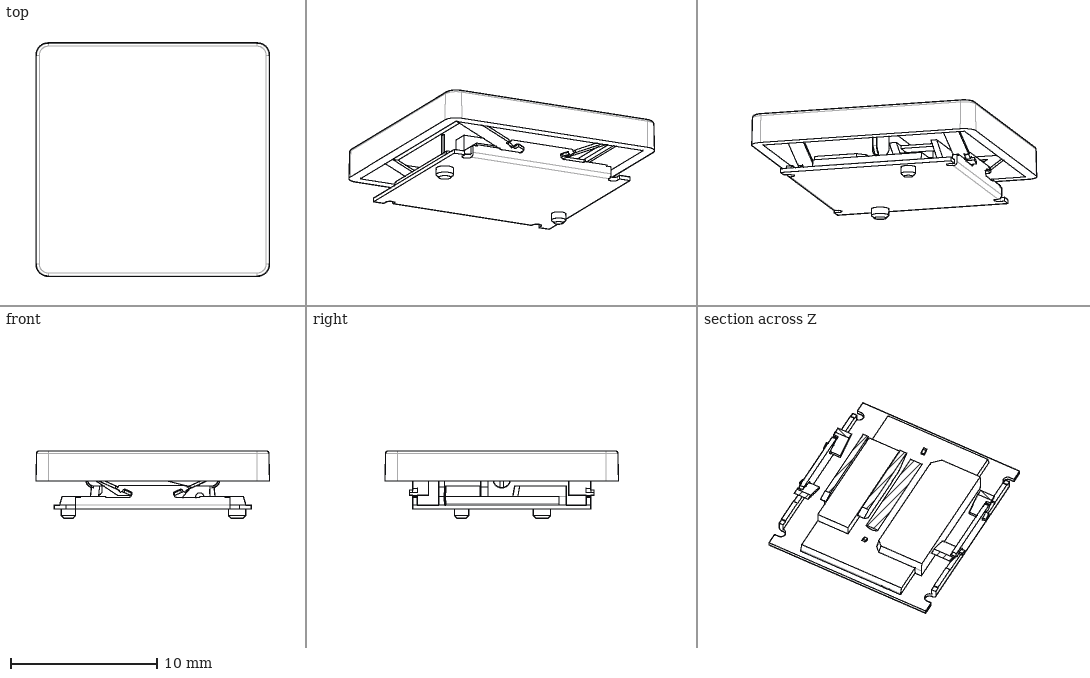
import cadquery as cq
import math

CAP_SIZE = 16.0
TOTAL_HEIGHT = 4.62

PLATE_LENGTH = 13.5
PLATE_WIDTH = 12.2
PLATE_BOTTOM = 0.64
PLATE_THICKNESS = 0.27
PLATE_TOP = PLATE_BOTTOM + PLATE_THICKNESS
PLATE_EDGE = PLATE_WIDTH / 2
WALL_THICKNESS = 0.32
WALL_HALF_LENGTH = 5.3
WALL_TOP = 2.24
RELIEF_WIDTH = 0.65
RELIEF_DEPTH = 0.64

CAP_BOTTOM = 2.55
CAP_HEIGHT = TOTAL_HEIGHT - CAP_BOTTOM
CAP_CORNER_RADIUS = 0.86
CAP_INSET_AT_TOP = 0.05
CAP_DRAFT = math.degrees(math.atan(CAP_INSET_AT_TOP / CAP_HEIGHT))
CAP_TOP_ROUND = 0.2
CAP_WALL = 0.8
CAP_ROOF = 0.6
CAVITY_TOP = TOTAL_HEIGHT - CAP_ROOF
RIB_DIAMETER = 1.2
RIB_HALF_LENGTH = 3.2
RIB_BOTTOM = 2.1

FRAME_HALF_LENGTH = 6.35
FRAME_TOP = 1.5
FRAME_BREAK = 1.02
FRAME_SIDE_INSET = 0.15
FRAME_FRONT = -3.84
FRAME_BACK = 3.92
PEG_X = 5.78
PEG_Y = 2.75
SMALL_PEG_DIAMETER = 1.0
LARGE_PEG_DIAMETER = 1.2
PEG_CHAMFER = 0.2

BOX_LEFT_FOOT = -3.71
BOX_LEFT = -3.49
BOX_RIGHT = 3.9
BOX_BACK = -1.49
BOX_SLOPE_TOP = 1.76
HOUSING_TOP = 2.22
BOSS_X = 3.22
BOSS_Z = 1.47
BOSS_DIAMETER = 0.56
BOSS_LENGTH = 0.1

COVER_HALF_LENGTH = 4.27
COVER_BACK = 4.42
COVER_FRONT = 0.75
COVER_LEFT_CORNER = 0.56
COVER_RIGHT_CORNER = 0.35
COVER_SIDE_DRAFT = 0.08
COVER_FRONT_DRAFT = 0.13

WING_OUTER = PLATE_EDGE
WING_INNER = 5.0
WIDE_LEG_INNER = 4.58
LUG_OUTER = 6.32
WING_TIP_X = -1.5
WING_TIP_BOTTOM = 1.57
WING_TIP_TOP = 1.76
WING_SLOPE = 0.45
LEG_END_X = -2.56
LUG_START_X = -1.92
BAR_BOTTOM = 3.52

LEVER_OUTER_FRONT = -4.32
LEVER_OUTER_BACK = -3.9
LEVER_INNER_FRONT = -1.44
LEVER_INNER_BACK = -0.93
LEVER_TOP = 2.8
BRIDGE_BOTTOM = 2.6
BRIDGE_LEFT = -3.2

SPRING_REACH = 4.58
SPRING_RADIUS = 0.51
SPRING_THICKNESS = 0.13
SPRING_WIDTH = 0.24


def box(x_min, x_max, y_min, y_max, z_min, z_max):
    """Box given by its limits along the three axes."""
    return cq.Workplane("XY").box(
        x_max - x_min, y_max - y_min, z_max - z_min, centered=False
    ).translate((x_min, y_min, z_min))


def along_y(profile, y_min, y_max):
    """Extrude a closed XZ profile from y_min to y_max."""
    return profile.extrude(y_min - y_max).translate((0, y_min, 0))


def xz_polygon(points):
    """Closed polygon in the XZ plane."""
    return cq.Workplane("XZ").polyline(points).close()


def make_cap():
    """Hollow keycap with a round-bottomed rib along X under the middle of its roof."""
    shell = (
        cq.Workplane("XY")
        .sketch().rect(CAP_SIZE, CAP_SIZE).vertices().fillet(CAP_CORNER_RADIUS).finalize()
        .extrude(CAP_HEIGHT, taper=CAP_DRAFT)
        .translate((0, 0, CAP_BOTTOM))
        .faces(">Z").edges().fillet(CAP_TOP_ROUND)
    )
    inside = CAP_SIZE / 2 - CAP_WALL
    shell = shell.cut(box(-inside, inside, -inside, inside, CAP_BOTTOM, CAVITY_TOP))

    radius = RIB_DIAMETER / 2
    shoulder = RIB_BOTTOM + radius
    rib = (
        cq.Workplane("YZ")
        .moveTo(-radius, CAVITY_TOP)
        .lineTo(-radius, shoulder)
        .threePointArc((0, RIB_BOTTOM), (radius, shoulder))
        .lineTo(radius, CAVITY_TOP)
        .close()
        .extrude(RIB_HALF_LENGTH, both=True)
    )
    return shell.union(rib)


def wall_half_profile():
    """Left half of a bearing wall: a hooked slot that holds the lug of a wing."""
    end_step_height = 1.42
    end_step_x = -4.96
    return (
        cq.Workplane("XZ")
        .moveTo(0, PLATE_BOTTOM)
        .lineTo(-WALL_HALF_LENGTH, PLATE_BOTTOM)
        .lineTo(-WALL_HALF_LENGTH, end_step_height)
        .lineTo(end_step_x, end_step_height)
        .lineTo(end_step_x, FRAME_TOP)
        .lineTo(-3.25, FRAME_TOP)
        .lineTo(-3.2, end_step_height)
        .lineTo(-1.76, end_step_height)
        .threePointArc((-1.45, 1.57), (-1.44, 1.8))
        .lineTo(-1.94, 2.02)
        .lineTo(-2.2, 1.78)
        .lineTo(-2.48, 2.03)
        .lineTo(-2.32, WALL_TOP)
        .lineTo(0, WALL_TOP)
        .close()
    )


def make_plate():
    """Base plate with two walls bent up from its front and back edges."""
    plate = box(
        -PLATE_LENGTH / 2, PLATE_LENGTH / 2, -PLATE_EDGE, PLATE_EDGE, PLATE_BOTTOM, PLATE_TOP
    )
    relief_x = WALL_HALF_LENGTH + RELIEF_WIDTH / 2
    relief_length = 2 * RELIEF_DEPTH
    reliefs = (
        cq.Workplane("XY", origin=(0, 0, PLATE_BOTTOM))
        .pushPoints([(sx * relief_x, sy * PLATE_EDGE) for sx in (-1, 1) for sy in (-1, 1)])
        .slot2D(relief_length, RELIEF_WIDTH, 90)
        .extrude(PLATE_THICKNESS)
    )
    half_wall = along_y(wall_half_profile(), -PLATE_EDGE, -PLATE_EDGE + WALL_THICKNESS)
    front_wall = half_wall.union(half_wall.mirror("YZ"))
    plate = plate.cut(reliefs).union(front_wall).union(front_wall.mirror("XZ"))

    for side in (-1, 1):
        corner = box(
            -WALL_HALF_LENGTH, WALL_HALF_LENGTH,
            -PLATE_THICKNESS, 0, 0, PLATE_THICKNESS,
        )
        bend = (
            cq.Workplane("YZ")
            .center(0, PLATE_THICKNESS)
            .circle(PLATE_THICKNESS)
            .extrude(WALL_HALF_LENGTH, both=True)
        )
        waste = corner.cut(bend).translate((0, PLATE_THICKNESS - PLATE_EDGE, PLATE_BOTTOM))
        plate = plate.cut(waste if side < 0 else waste.mirror("XZ"))

    for x, y, diameter in pegs():
        hole = cq.Workplane("XY", origin=(x, y, PLATE_BOTTOM)).circle(diameter / 2)
        plate = plate.cut(hole.extrude(PLATE_THICKNESS))
    return plate


def pegs():
    """Place and diameter of the two locating pegs, on opposite corners."""
    return [(-PEG_X, -PEG_Y, SMALL_PEG_DIAMETER), (PEG_X, PEG_Y, LARGE_PEG_DIAMETER)]


def make_frame():
    """Frame with sloped ends, a switch box on top and pegs through the plate."""
    top_half_length = FRAME_HALF_LENGTH - FRAME_SIDE_INSET
    frame = along_y(
        xz_polygon([
            (-FRAME_HALF_LENGTH, PLATE_TOP),
            (-FRAME_HALF_LENGTH, FRAME_BREAK),
            (-top_half_length, FRAME_TOP),
            (top_half_length, FRAME_TOP),
            (FRAME_HALF_LENGTH, FRAME_BREAK),
            (FRAME_HALF_LENGTH, PLATE_TOP),
        ]),
        FRAME_FRONT, FRAME_BACK,
    )
    switch_box = along_y(
        xz_polygon([
            (BOX_LEFT_FOOT, FRAME_TOP),
            (BOX_LEFT, BOX_SLOPE_TOP),
            (BOX_LEFT, HOUSING_TOP),
            (BOX_RIGHT, HOUSING_TOP),
            (BOX_RIGHT, FRAME_TOP),
        ]),
        FRAME_FRONT, BOX_BACK,
    )
    boss = along_y(
        cq.Workplane("XZ").center(BOSS_X, BOSS_Z).circle(BOSS_DIAMETER / 2),
        FRAME_FRONT - BOSS_LENGTH, FRAME_FRONT,
    )
    frame = frame.union(switch_box).union(boss)
    for x, y, diameter in pegs():
        peg = cq.Workplane("XY", origin=(x, y, 0)).circle(diameter / 2).extrude(PLATE_TOP)
        frame = frame.union(peg.faces("<Z").chamfer(PEG_CHAMFER))
    return frame


def make_cover():
    """Cover with drafted sides and cut front corners, and a foot behind the frame."""
    def outline(half_length, front):
        return [
            (-half_length, COVER_BACK),
            (-half_length, front + COVER_LEFT_CORNER),
            (-half_length + COVER_LEFT_CORNER, front),
            (half_length - COVER_RIGHT_CORNER, front),
            (half_length, front + COVER_RIGHT_CORNER),
            (half_length, COVER_BACK),
        ]

    body = (
        cq.Workplane("XY", origin=(0, 0, FRAME_TOP))
        .polyline(outline(COVER_HALF_LENGTH, COVER_FRONT)).close()
        .workplane(offset=HOUSING_TOP - FRAME_TOP)
        .polyline(outline(COVER_HALF_LENGTH - COVER_SIDE_DRAFT, COVER_FRONT + COVER_FRONT_DRAFT))
        .close()
        .loft(ruled=True)
    )
    foot = box(
        -COVER_HALF_LENGTH, COVER_HALF_LENGTH, FRAME_BACK, COVER_BACK, PLATE_TOP, FRAME_TOP
    )
    return body.union(foot)


def make_left_wing(back_leg_inner, front_leg_inner):
    """Sloped sheet: two legs with lugs in the wall slots, joined by a bar under the cap roof."""
    def slope_x(tip_height):
        return WING_TIP_X - (CAVITY_TOP - tip_height) / WING_SLOPE

    sheet_profile = xz_polygon([
        (slope_x(WING_TIP_BOTTOM), CAVITY_TOP),
        (WING_TIP_X, WING_TIP_BOTTOM),
        (WING_TIP_X, WING_TIP_TOP),
        (slope_x(WING_TIP_TOP), CAVITY_TOP),
    ])
    full_sheet = along_y(sheet_profile, -LUG_OUTER, LUG_OUTER)
    reach = CAP_SIZE / 2
    wall_inside = PLATE_EDGE - WALL_THICKNESS

    kept = box(-reach, 0, -wall_inside, wall_inside, BAR_BOTTOM, CAVITY_TOP)
    for side, leg_inner in ((1, back_leg_inner), (-1, front_leg_inner)):
        leg = box(-reach, 0, leg_inner, wall_inside, 0, CAVITY_TOP)
        leg_edge = box(-reach, LEG_END_X, wall_inside, WING_OUTER, 0, CAVITY_TOP)
        lug = box(LUG_START_X, 0, wall_inside, LUG_OUTER, 0, CAVITY_TOP)
        outer_part = leg.union(leg_edge).union(lug)
        kept = kept.union(outer_part if side > 0 else outer_part.mirror("XZ"))
    return full_sheet.intersect(kept)


def make_lever():
    """Lever of two side plates that straddle the switch box, bridged above it."""
    upper_points = [
        (2.08, FRAME_TOP),
        (2.64, 2.15),
        (1.05, CAP_BOTTOM),
        (0.0, LEVER_TOP),
        (-4.25, LEVER_TOP),
        (-2.4, WING_TIP_BOTTOM),
        (-1.52, WING_TIP_BOTTOM),
        (-1.47, FRAME_TOP),
    ]
    foot_points = [(-1.04, PLATE_TOP), (2.08, PLATE_TOP)]
    outer_plate = along_y(
        xz_polygon(upper_points + foot_points), LEVER_OUTER_FRONT, LEVER_OUTER_BACK
    )
    inner_plate = along_y(xz_polygon(upper_points), LEVER_INNER_FRONT, LEVER_INNER_BACK)
    bridge = box(BRIDGE_LEFT, 0, LEVER_OUTER_FRONT, LEVER_INNER_BACK, BRIDGE_BOTTOM, LEVER_TOP)
    return outer_plate.union(inner_plate).union(bridge)


def make_left_spring():
    """Narrow strip hanging from the roof of the cap and curling inward at its tip."""
    inner_radius = SPRING_RADIUS - SPRING_THICKNESS
    center_x = SPRING_RADIUS - SPRING_REACH
    center_z = RIB_BOTTOM + SPRING_RADIUS
    diagonal = math.sqrt(0.5)

    def mid_arc(radius):
        return (center_x - radius * diagonal, center_z - radius * diagonal)

    profile = (
        cq.Workplane("XZ")
        .moveTo(center_x - SPRING_RADIUS, CAVITY_TOP)
        .lineTo(center_x - SPRING_RADIUS, center_z)
        .threePointArc(mid_arc(SPRING_RADIUS), (center_x, RIB_BOTTOM))
        .lineTo(center_x, center_z - inner_radius)
        .threePointArc(mid_arc(inner_radius), (center_x - inner_radius, center_z))
        .lineTo(center_x - inner_radius, CAVITY_TOP)
        .close()
    )
    return along_y(profile, -SPRING_WIDTH / 2, SPRING_WIDTH / 2)


cap = make_cap()
plate = make_plate()
frame = make_frame()
cover = make_cover()
lever = make_lever()
left_wing = make_left_wing(WING_INNER, WING_INNER)
right_wing = make_left_wing(WIDE_LEG_INNER, WING_INNER).mirror("YZ")
left_spring = make_left_spring()
right_spring = left_spring.mirror("YZ")

result = cq.Compound.makeCompound([
    cap.solids().val(),
    plate.solids().val(),
    frame.solids().val(),
    cover.solids().val(),
    lever.solids().val(),
    left_wing.solids().val(),
    right_wing.solids().val(),
    left_spring.solids().val(),
    right_spring.solids().val(),
])